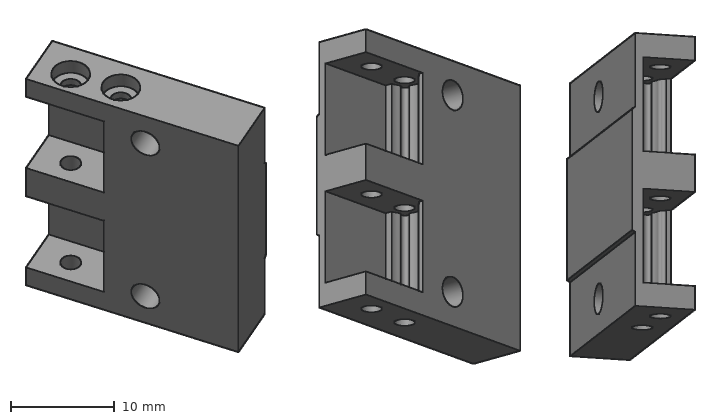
import cadquery as cq
import math

LENGTH = 22.6
BODY_DEPTH = 6.0
HEIGHT = 27.0

BAND_RISE = 0.3
BAND_HALF_HEIGHT = 6.2
BAND_SLOPE_RUN = 0.2

POCKET_LENGTH = 8.3
POCKET_DEPTH = 5.18
POCKET_HEIGHT = 9.3
RIB_HEIGHT = 3.7

PIN_HOLE_DIAMETER = 2.0
COUNTERBORE_DIAMETER = 3.73
COUNTERBORE_DEPTH = 1.55
OUTER_PIN_AXIS = (3.62, 2.45)
INNER_PIN_AXIS = (8.81, 2.75)

LOBE_COUNT = 5
FIRST_LOBE_ANGLE = 40.0
ROOT_RADIUS = 1.65
LOBE_CENTER_RADIUS = 1.92
LOBE_RADIUS = 0.4
FLANK_RADIUS = 0.35

MOUNTING_HOLE_DIAMETER = 3.0
MOUNTING_HOLE_X = 12.7
MOUNTING_HOLE_SPACING = 20.0


def block(x_range, y_range, z_range):
    """Box filling the given coordinate ranges."""
    ranges = (x_range, y_range, z_range)
    sizes = [high - low for low, high in ranges]
    corner = tuple(low for low, _ in ranges)
    return cq.Workplane("XY").box(*sizes, centered=False).translate(corner)


def polar(radius, angle):
    """Point at a radius and an angle in degrees around the inner pin axis."""
    turn = math.radians(angle)
    return (
        INNER_PIN_AXIS[0] + radius * math.cos(turn),
        INNER_PIN_AXIS[1] + radius * math.sin(turn),
    )


def toward(start, end, distance):
    """Point a given distance from start, on the line to end."""
    share = distance / math.dist(start, end)
    return tuple(a + share * (b - a) for a, b in zip(start, end))


def body():
    """Plain block with the raised band on its back face."""
    plate = block((0, LENGTH), (0, BODY_DEPTH), (-HEIGHT / 2, HEIGHT / 2))
    band_back = BODY_DEPTH + BAND_RISE
    crest = BAND_HALF_HEIGHT - BAND_SLOPE_RUN
    band = (
        cq.Workplane("YZ")
        .moveTo(0, -BAND_HALF_HEIGHT)
        .lineTo(BODY_DEPTH, -BAND_HALF_HEIGHT)
        .lineTo(band_back, -crest)
        .lineTo(band_back, crest)
        .lineTo(BODY_DEPTH, BAND_HALF_HEIGHT)
        .lineTo(0, BAND_HALF_HEIGHT)
        .close()
        .extrude(LENGTH)
    )
    return plate.union(band)


def lobed_recess(floor_z):
    """Prism with round lobes, each blended into the root circle by a convex flank arc."""
    flank_center_radius = ROOT_RADIUS + FLANK_RADIUS
    flank_to_lobe = LOBE_RADIUS + FLANK_RADIUS
    flank_offset = math.degrees(
        math.acos(
            (flank_center_radius**2 + LOBE_CENTER_RADIUS**2 - flank_to_lobe**2)
            / (2 * flank_center_radius * LOBE_CENTER_RADIUS)
        )
    )
    pitch = 360 / LOBE_COUNT
    outline = cq.Workplane("XY").workplane(offset=floor_z)
    outline = outline.moveTo(*polar(ROOT_RADIUS, FIRST_LOBE_ANGLE - flank_offset))

    for index in range(LOBE_COUNT):
        angle = FIRST_LOBE_ANGLE + index * pitch
        lobe_center = polar(LOBE_CENTER_RADIUS, angle)
        lobe_tip = polar(LOBE_CENTER_RADIUS + LOBE_RADIUS, angle)
        root_points = []
        flank_middles = []
        lobe_points = []
        for flank_angle in (angle - flank_offset, angle + flank_offset):
            flank_center = polar(flank_center_radius, flank_angle)
            root_point = polar(ROOT_RADIUS, flank_angle)
            lobe_point = toward(lobe_center, flank_center, LOBE_RADIUS)
            chord_middle = tuple((a + b) / 2 for a, b in zip(root_point, lobe_point))
            root_points.append(root_point)
            flank_middles.append(toward(flank_center, chord_middle, FLANK_RADIUS))
            lobe_points.append(lobe_point)
        next_root = polar(ROOT_RADIUS, angle + pitch - flank_offset)
        outline = (
            outline.threePointArc(flank_middles[0], lobe_points[0])
            .threePointArc(lobe_tip, lobe_points[1])
            .threePointArc(flank_middles[1], root_points[1])
            .threePointArc(polar(ROOT_RADIUS, angle + pitch / 2), next_root)
        )
    return outline.close().extrude(POCKET_HEIGHT)


def pocket(floor_z):
    """Open pocket with the lobed recess and a clearance behind the inner pin axis."""
    z_range = (floor_z, floor_z + POCKET_HEIGHT)
    opening = block((0, POCKET_LENGTH), (0, POCKET_DEPTH), z_range)
    clearance = block((0, INNER_PIN_AXIS[0]), (INNER_PIN_AXIS[1], POCKET_DEPTH), z_range)
    return opening.union(clearance).union(lobed_recess(floor_z))


def pin_hole(axis):
    """Full-height hole with its counterbore at the top face."""
    bore = cq.Workplane("XY", origin=(*axis, -HEIGHT / 2)).circle(PIN_HOLE_DIAMETER / 2).extrude(HEIGHT)
    counterbore = (
        cq.Workplane("XY", origin=(*axis, HEIGHT / 2))
        .circle(COUNTERBORE_DIAMETER / 2)
        .extrude(-COUNTERBORE_DEPTH)
    )
    return bore.union(counterbore)


def mounting_hole(z):
    """Round hole along Y through the body."""
    return (
        cq.Workplane("XZ", origin=(MOUNTING_HOLE_X, 0, z))
        .circle(MOUNTING_HOLE_DIAMETER / 2)
        .extrude(-(BODY_DEPTH + BAND_RISE))
    )


result = body()
for pocket_floor in (RIB_HEIGHT / 2, -RIB_HEIGHT / 2 - POCKET_HEIGHT):
    result = result.cut(pocket(pocket_floor))
for pin_axis in (OUTER_PIN_AXIS, INNER_PIN_AXIS):
    result = result.cut(pin_hole(pin_axis))
for hole_z in (-MOUNTING_HOLE_SPACING / 2, MOUNTING_HOLE_SPACING / 2):
    result = result.cut(mounting_hole(hole_z))